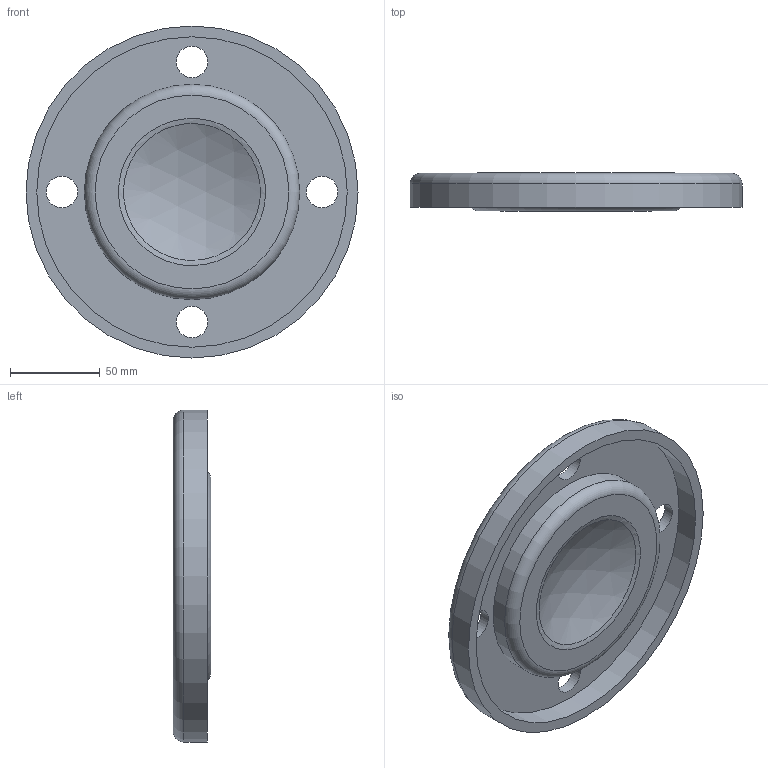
import cadquery as cq

OUTER_DIAMETER = 185.0
WALL = 6.0
RIM_HEIGHT = 19.0
HUB_RISE = 2.0
HUB_DIAMETER = 120.0
EDGE_ROUND = 6.0

BOWL_RADIUS = 80.0
BOWL_DEPTH = 10.4

HOLE_DIAMETER = 17.5
HOLE_CIRCLE_DIAMETER = 145.0
HOLE_COUNT = 4

TOTAL_HEIGHT = RIM_HEIGHT + HUB_RISE
HALF_HEIGHT = TOTAL_HEIGHT / 2

BACK_PLANE = cq.Plane(origin=(0, HALF_HEIGHT, 0), xDir=(1, 0, 0), normal=(0, -1, 0))


def make_dish():
    """Round plate with a raised rim and a rounded rear edge."""
    dish = cq.Workplane(BACK_PLANE).circle(OUTER_DIAMETER / 2).extrude(RIM_HEIGHT)
    dish = dish.faces(">Y").edges().fillet(EDGE_ROUND)
    recess = (
        cq.Workplane(BACK_PLANE)
        .workplane(offset=WALL)
        .circle(OUTER_DIAMETER / 2 - WALL)
        .extrude(RIM_HEIGHT - WALL)
    )
    return dish.cut(recess)


def make_hub():
    """Central boss with a rounded edge and a shallow spherical bowl."""
    hub = cq.Workplane(BACK_PLANE).circle(HUB_DIAMETER / 2).extrude(TOTAL_HEIGHT)
    hub = hub.faces("<Y").edges().fillet(EDGE_ROUND)
    ball_centre_y = -HALF_HEIGHT + BOWL_DEPTH - BOWL_RADIUS
    ball = (
        cq.Workplane("XY")
        .sphere(BOWL_RADIUS, direct=(1, 0, 0))
        .translate((0, ball_centre_y, 0))
    )
    hub = hub.cut(ball)
    smallest_circle = cq.selectors.RadiusNthSelector(0)
    return hub.faces("<Y").edges(smallest_circle).fillet(EDGE_ROUND)


def make_holes():
    """Bolt holes through the back plate, on the X and Z axes."""
    return (
        cq.Workplane(BACK_PLANE)
        .polarArray(HOLE_CIRCLE_DIAMETER / 2, 0, 360, HOLE_COUNT)
        .circle(HOLE_DIAMETER / 2)
        .extrude(WALL)
    )


result = make_dish().union(make_hub()).cut(make_holes())